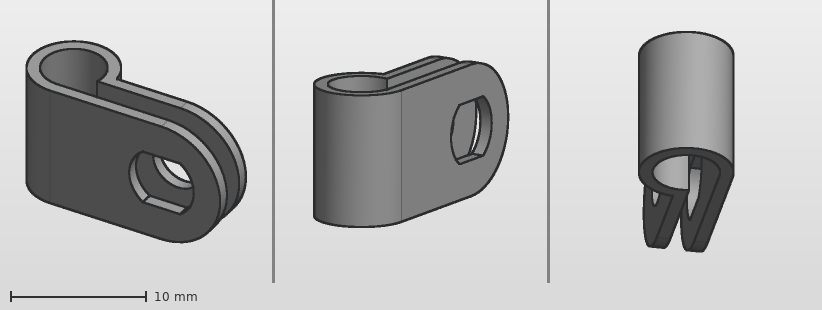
import cadquery as cq

length = 18.0
width = 10.0
outer_diameter = 7.0
thickness = 1.0
arm_gap = 1.8
round_hole_diameter = 4.23
round_hole_offset = 0.22
flatted_hole_diameter = 5.5
flatted_hole_height = 4.5

outer_radius = outer_diameter / 2
inner_radius = outer_radius - thickness
end_radius = width / 2
tip_x = length - outer_radius
end_x = tip_x - end_radius
front_y = -outer_radius
front_inner_y = front_y + thickness
back_inner_y = front_inner_y + arm_gap


def arm(y_start):
    """Flat strip from the loop axis to the tip, with a rounded end."""
    return (
        cq.Workplane("XZ", origin=(0, y_start, 0))
        .moveTo(0, -end_radius)
        .lineTo(end_x, -end_radius)
        .threePointArc((tip_x, 0), (end_x, end_radius))
        .lineTo(0, end_radius)
        .close()
        .extrude(-thickness)
    )


def loop_cylinder(radius):
    return cq.Workplane("XY").circle(radius).extrude(end_radius, both=True)


def arm_hole(x, diameter, y_start):
    """Round cutter through one arm."""
    return (
        cq.Workplane("XZ", origin=(x, y_start, 0))
        .circle(diameter / 2)
        .extrude(-thickness)
    )


mouth = cq.Workplane("XY").box(
    outer_radius, arm_gap, width, centered=(False, False, True)
).translate((0, front_inner_y, 0))
loop = loop_cylinder(outer_radius).cut(mouth)
strap = loop.union(arm(front_y)).union(arm(back_inner_y)).cut(loop_cylinder(inner_radius))

back_hole = arm_hole(end_x - round_hole_offset, round_hole_diameter, back_inner_y)

flats = cq.Workplane("XY").box(length, outer_diameter, flatted_hole_height).translate((end_x, 0, 0))
front_hole = arm_hole(end_x, flatted_hole_diameter, front_y).intersect(flats)

result = strap.cut(back_hole).cut(front_hole)